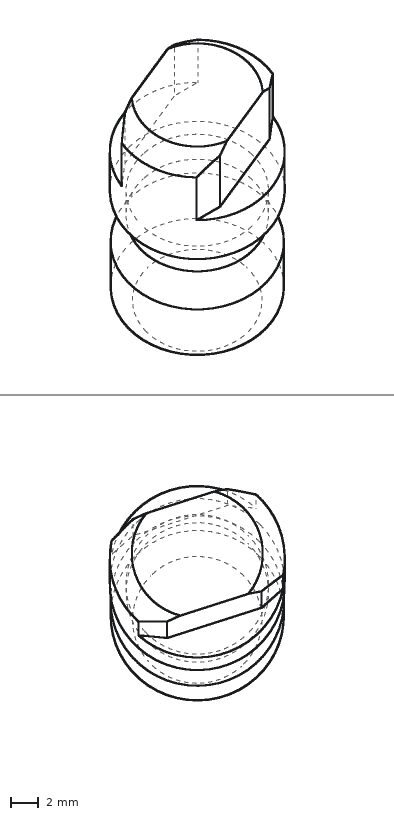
import cadquery as cq

total_height = 24.13
groove_bottom = 10.0
collar_bottom = 12.93
tongue_bottom = 17.52
body_top = 6.95

body_radius = 12.57 / 2
neck_radius = 10.33 / 2
collar_radius = 12.7 / 2
end_chamfer = 1.6

flat_half_width = 3.98
flat_half_length = 3.6
tip_half_width = 3.14
tip_half_length = (collar_radius**2 - tip_half_width**2) ** 0.5


def turned_blank():
    """Pin with chamfered ends, a conical shoulder and a neck below the collar."""
    profile = [
        (0, 0),
        (body_radius - end_chamfer, 0),
        (body_radius, end_chamfer),
        (body_radius, body_top),
        (neck_radius, groove_bottom),
        (neck_radius, collar_bottom),
        (collar_radius, collar_bottom),
        (collar_radius, total_height - end_chamfer),
        (collar_radius - end_chamfer, total_height),
        (0, total_height),
    ]
    return cq.Workplane("XZ").polyline(profile).close().revolve(360, (0, 0, 0), (0, 1, 0))


def tongue_side_cut(side):
    """Material removed beside the tongue; side is -1 or +1 along X."""
    overrun = 2
    taper = (flat_half_width - tip_half_width) / (tip_half_length - flat_half_length)
    far_length = overrun * collar_radius
    far_width = tip_half_width - taper * (far_length - tip_half_length)
    outer_width = overrun * collar_radius
    outline = [
        (side * flat_half_width, -flat_half_length),
        (side * flat_half_width, flat_half_length),
        (side * far_width, far_length),
        (side * outer_width, far_length),
        (side * outer_width, -far_length),
        (side * far_width, -far_length),
    ]
    return (
        cq.Workplane("XY")
        .workplane(offset=tongue_bottom)
        .polyline(outline)
        .close()
        .extrude(total_height - tongue_bottom)
    )


result = turned_blank()
for side in (-1, 1):
    result = result.cut(tongue_side_cut(side))